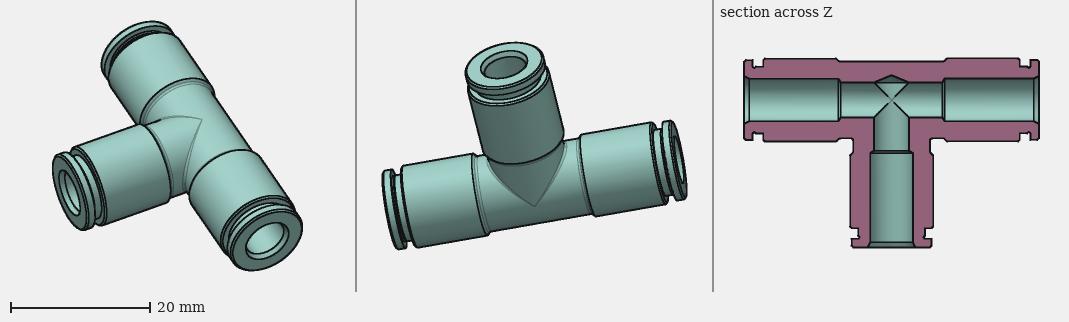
import cadquery as cq
import math

arm_length = 21.2
arm_angles = (0, -90, 90)
body_diameter = 12.0
body_radius = body_diameter / 2
body_outer_end = 18.45
body_inner_end = 7.97
body_chamfer = 0.25

neck_diameter = 11.05
neck_radius = neck_diameter / 2
shoulder_fillet = 0.5
shoulder_angle = math.radians(45)
junction_fillet = 0.35

collar_radius = 4.85
flange_radius = 5.75
flange_thickness = 1.27
flange_chamfer = 0.25
groove_depth = 0.25
groove_width = 0.42

passage_radius = 2.5
socket_radius = 3.05
socket_end = 7.65
mouth_radius = 3.45
mouth_depth = 0.75
seat_angle = math.radians(118)
drill_tip_angle = math.radians(135)


def revolve_arm(profile):
    """Revolve a closed half profile about Y and lay it along -Y."""
    return profile.revolve(360, (0, 0, 0), (0, 1, 0)).mirror("XZ")


def make_neck():
    run = cq.Workplane("YZ").circle(neck_radius).extrude(body_inner_end, both=True)
    branch = cq.Workplane("XZ").circle(neck_radius).extrude(body_inner_end)
    return run.union(branch)


def round_junction(tee):
    """Fillet the mitre edges, whose centres lie farther out along the branch than the bore edges."""
    mitre = cq.selectors.BoxSelector(
        (-neck_radius, -neck_radius, -neck_radius),
        (neck_radius, -passage_radius, neck_radius),
    )
    return tee.edges(mitre).fillet(junction_fillet)


def make_body_and_collar():
    fillet_height = shoulder_fillet * (1 - math.cos(shoulder_angle))
    fillet_length = shoulder_fillet * math.sin(shoulder_angle)
    cone_inner_radius = neck_radius + fillet_height
    cone_inner_end = body_inner_end - (body_radius - cone_inner_radius) / math.tan(shoulder_angle)
    fillet_end = cone_inner_end - fillet_length
    fillet_middle = (
        neck_radius + shoulder_fillet * (1 - math.cos(shoulder_angle / 2)),
        fillet_end + shoulder_fillet * math.sin(shoulder_angle / 2),
    )
    flange_inner_end = arm_length - flange_thickness
    profile = (
        cq.Workplane("XY")
        .moveTo(0, fillet_end)
        .lineTo(neck_radius, fillet_end)
        .threePointArc(fillet_middle, (cone_inner_radius, cone_inner_end))
        .lineTo(body_radius, body_inner_end)
        .lineTo(body_radius, body_outer_end - body_chamfer)
        .lineTo(body_radius - body_chamfer, body_outer_end)
        .lineTo(collar_radius, body_outer_end)
        .lineTo(collar_radius, flange_inner_end - groove_width)
        .lineTo(collar_radius - groove_depth, flange_inner_end - groove_width / 2)
        .lineTo(collar_radius, flange_inner_end)
        .lineTo(flange_radius, flange_inner_end)
        .lineTo(flange_radius, arm_length - flange_chamfer)
        .lineTo(flange_radius - flange_chamfer, arm_length)
        .lineTo(0, arm_length)
        .close()
    )
    return revolve_arm(profile)


def make_bore():
    seat_depth = (socket_radius - passage_radius) / math.tan(seat_angle / 2)
    profile = (
        cq.Workplane("XY")
        .lineTo(passage_radius, 0)
        .lineTo(passage_radius, socket_end - seat_depth)
        .lineTo(socket_radius, socket_end)
        .lineTo(socket_radius, arm_length - mouth_depth)
        .lineTo(mouth_radius, arm_length)
        .lineTo(0, arm_length)
        .close()
    )
    return revolve_arm(profile)


def make_branch_drill_tip():
    """Branch passage carried across the run to its far wall, ending in a drill cone."""
    tip_length = passage_radius / math.tan(drill_tip_angle / 2)
    profile = (
        cq.Workplane("XY")
        .lineTo(passage_radius, 0)
        .lineTo(passage_radius, passage_radius)
        .lineTo(0, passage_radius + tip_length)
        .close()
    )
    return profile.revolve(360, (0, 0, 0), (0, 1, 0))


body_and_collar = make_body_and_collar()
bore = make_bore()

result = make_neck()
for angle in arm_angles:
    result = result.union(body_and_collar.rotate((0, 0, 0), (0, 0, 1), angle))
for angle in arm_angles:
    result = result.cut(bore.rotate((0, 0, 0), (0, 0, 1), angle))
result = result.cut(make_branch_drill_tip())
result = round_junction(result)